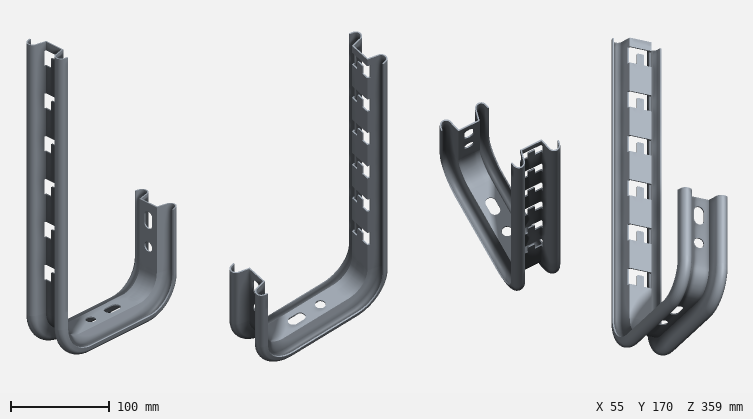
import cadquery as cq
import math

width = 55.0
outer_length = 170.0
leg_height = 359.0
arm_height = 120.0

sheet = 1.5
section_depth = 18.0
rim_radius = 6.5
splay = math.radians(13.5)
lip_length = 4.6

bend_radius = 43.0
bend_angle = 90.0

hole_diameter = 11.0
long_hole_length = 20.0
hole_spacing = 31.0
arm_hole_drop = 51.0

window_count = 6
window_pitch = 50.0
window_top_margin = 10.0
window_height = 18.0
window_width = 27.0
window_depth = 3.2
tongue_width = 8.0
tongue_gap = 6.0
tongue_corner = 1.5

hole_offset = hole_spacing / 2
floor_length = outer_length - 2 * bend_radius
leg_straight = leg_height - bend_radius
arm_straight = arm_height - bend_radius
rim_center_x = width / 2 - rim_radius * math.cos(splay) - lip_length * math.sin(splay)



def skin_points(radius, web_level):
    """Points of one face of the sheet, from the web to the lip end, as (x, height above the crown)."""
    dx = radius * math.cos(splay)
    tangent_level = rim_radius - radius * math.sin(splay)
    flange_end = (rim_center_x - dx, tangent_level)
    lip_start = (rim_center_x + dx, tangent_level)
    crown = (rim_center_x, rim_radius - radius)
    web_corner = (flange_end[0] - (web_level - tangent_level) * math.tan(splay), web_level)
    lip_end = (
        lip_start[0] + lip_length * math.sin(splay),
        tangent_level + lip_length * math.cos(splay),
    )
    return web_corner, flange_end, crown, lip_start, lip_end


def channel_section(plane):
    """Closed outline of the channel; local x runs across it and local y from the crown to the web."""
    out_web, out_flange, out_crown, out_lip, out_end = skin_points(rim_radius, section_depth - sheet)
    in_web, in_flange, in_crown, in_lip, in_end = skin_points(rim_radius - sheet, section_depth)

    def mirrored(point):
        return (-point[0], point[1])

    return (
        cq.Workplane(plane)
        .moveTo(*out_web)
        .lineTo(*out_flange)
        .threePointArc(out_crown, out_lip)
        .lineTo(*out_end)
        .lineTo(*in_end)
        .lineTo(*in_lip)
        .threePointArc(in_crown, in_flange)
        .lineTo(*in_web)
        .lineTo(*mirrored(in_web))
        .lineTo(*mirrored(in_flange))
        .threePointArc(mirrored(in_crown), mirrored(in_lip))
        .lineTo(*mirrored(in_end))
        .lineTo(*mirrored(out_end))
        .lineTo(*mirrored(out_lip))
        .threePointArc(mirrored(out_crown), mirrored(out_flange))
        .lineTo(*mirrored(out_web))
        .close()
    )


def hook_body():
    """The bent channel: leg, bend, floor, bend and arm."""
    leg_plane = cq.Plane((0, 0, bend_radius), xDir=(1, 0, 0), normal=(0, 0, 1))
    floor_plane = cq.Plane((0, bend_radius, 0), xDir=(1, 0, 0), normal=(0, -1, 0))
    arm_plane = cq.Plane((0, outer_length, bend_radius), xDir=(-1, 0, 0), normal=(0, 0, 1))

    axis_start = (0, bend_radius, 0)
    axis_end = (1, bend_radius, 0)
    leg = channel_section(leg_plane).extrude(leg_straight)
    leg_bend = channel_section(leg_plane).revolve(bend_angle, axis_start, axis_end)
    floor = channel_section(floor_plane).extrude(-floor_length)
    arm_bend = channel_section(arm_plane).revolve(bend_angle, axis_start, axis_end)
    arm = channel_section(arm_plane).extrude(arm_straight)
    return leg.union(leg_bend).union(floor).union(arm_bend).union(arm)


def hole_pair(plane):
    """Cutter for a round and an elongated hole; the elongated one lies along +y of the plane."""
    round_hole = cq.Workplane(plane).center(0, -hole_offset).circle(hole_diameter / 2)
    long_hole = cq.Workplane(plane).center(0, hole_offset).slot2D(long_hole_length, hole_diameter, 90)
    return round_hole.extrude(section_depth).union(long_hole.extrude(section_depth))


def window(top):
    """Cutter for one window through the web and the flange roots, leaving an upright tongue."""
    bottom = top - window_height
    opening = cq.Workplane("XY").box(window_width, window_depth, window_height, centered=(True, False, False))
    tongue_height = window_height - tongue_gap
    tongue = (
        cq.Workplane("XY")
        .box(tongue_width, window_depth, tongue_height, centered=(True, False, False))
        .edges("|Y and >Z")
        .fillet(tongue_corner)
    )
    return opening.cut(tongue).translate((0, section_depth - window_depth, bottom))


floor_hole_plane = cq.Plane((0, outer_length / 2, section_depth / 2), xDir=(1, 0, 0), normal=(0, 0, 1))
arm_hole_plane = cq.Plane(
    (0, outer_length - section_depth / 2, arm_height - arm_hole_drop + hole_offset),
    xDir=(1, 0, 0),
    normal=(0, -1, 0),
)

body = hook_body()
body = body.cut(hole_pair(floor_hole_plane)).cut(hole_pair(arm_hole_plane))
for index in range(window_count):
    body = body.cut(window(leg_height - window_top_margin - index * window_pitch))

result = body